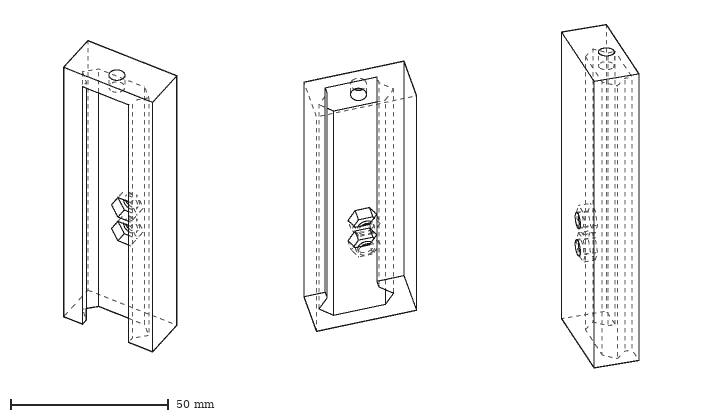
import cadquery as cq

width = 33.0
depth = 15.0
height = 105.0
center_x = width / 2

channel_left = 7.0
channel_width = 17.0
channel_right = channel_left + channel_width
channel_depth = 10.0
channel_height = 100.0
lip_depth = 2.4
groove_reach = (channel_depth - lip_depth) / 2
groove_y = lip_depth + groove_reach

screw_diameter = 5.2
nut_across_corners = 9.5
nut_depth = 4.0
lower_screw_z = 35.0
screw_pitch = 10.0

top_hole_diameter = 5.0
top_hole_y = 5.5


def make_channel():
    profile = [
        (channel_left, 0),
        (channel_right, 0),
        (channel_right, lip_depth),
        (channel_right + groove_reach, groove_y),
        (channel_right, channel_depth),
        (channel_left, channel_depth),
        (channel_left - groove_reach, groove_y),
        (channel_left, lip_depth),
    ]
    return cq.Workplane("XY").polyline(profile).close().extrude(channel_height)


def make_screw_cut(z):
    floor = cq.Workplane("XZ", origin=(center_x, channel_depth, z))
    hole = floor.circle(screw_diameter / 2).extrude(channel_depth - depth)
    nut_pocket = floor.polygon(6, nut_across_corners).extrude(-nut_depth)
    return hole.union(nut_pocket)


def make_top_hole():
    base = cq.Workplane("XY", origin=(center_x, top_hole_y, channel_height))
    return base.circle(top_hole_diameter / 2).extrude(height - channel_height)


result = cq.Workplane("XY").box(width, depth, height, centered=False)
result = result.cut(make_channel())
for screw_z in (lower_screw_z, lower_screw_z + screw_pitch):
    result = result.cut(make_screw_cut(screw_z))
result = result.cut(make_top_hole())